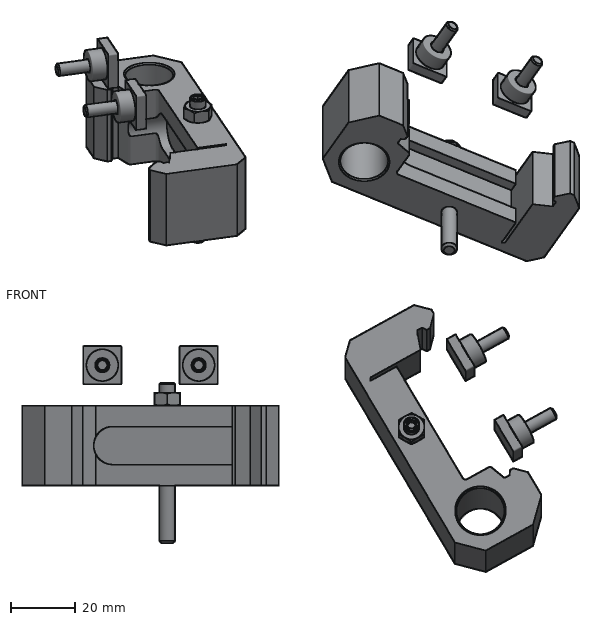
import cadquery as cq
import math


CLAMP_LENGTH = 80
CLAMP_DEPTH = 31.0
CLAMP_HEIGHT = 25.0
MID_HEIGHT = CLAMP_HEIGHT / 2
LEFT_CHAMFER = 7.0
RIGHT_CHAMFER = 4
BRIDGE_THICKNESS = 12.5
CORNER_RADIUS = 1.0

RAIL_X = 45.0
LIP_HALF_SPAN = 26.1
GROOVE_HALF_SPAN = 27.4
GROOVE_TOP_Y = -23.8
GROOVE_FOOT_Y = -25.6
LIP_TOP_Y = -26.5
LIP_FOOT_Y = -27.7
RIGHT_LIP_END_X = 74.6
SLANT_ANGLE = 20
LEFT_WALL_X = 23.0

SLOT_X = 65.4
SLOT_WIDTH = 1.0
WEB_THICKNESS = 3.1
RECESS_LEFT_X = 22.3
RECESS_HEIGHT = 11.8
RECESS_DEPTH = 3.0
BORE_INSET = 12
BORE_DIAMETER = 14.9
BORE_CHAMFER = 0.5

SCREW_X = 45.2
SCREW_Y = -6.2
SCREW_DIAMETER = 5.0
SCREW_LENGTH = 50.0
SCREW_BOTTOM_Z = -18.0
SCREW_TOP_CHAMFER = 0.4
SCREW_TIP_CHAMFER = 0.8
SOCKET_ACROSS_FLATS = 2.5
SOCKET_DEPTH = 2.5
SOCKET_TURN = 45
SOCKET_MOUTH_DIAMETER = 3.0
NUT_ACROSS_FLATS = 8
NUT_HEIGHT = 4
NUT_CHAMFER_ANGLE = 30

KNOB_COUNT = 2
KNOB_SPACING = 30.0
KNOB_BACK_Y = -27.8
KNOB_Z = 37.5
PLATE_SIDE = 12
PLATE_THICKNESS = 3.2
PLATE_CORNER_RADIUS = 0.5
COLLAR_DIAMETER = 9.9
COLLAR_LENGTH = 4.8
COLLAR_ROUNDING = 0.2
STUD_HOLE_DIAMETER = 4.5
STUD_DIAMETER = 4
STUD_LENGTH = 15.0
STUD_CHAMFER = 0.5


def hexagon_corner_diameter(across_flats):
    return across_flats / math.cos(math.radians(30))


def clamp_blank():
    """Extrude the C-shaped outline, with its hooked lips and flexing slot."""
    slant = math.tan(math.radians(SLANT_ANGLE))
    left_lip = RAIL_X - LIP_HALF_SPAN
    right_lip = RAIL_X + LIP_HALF_SPAN
    left_groove = RAIL_X - GROOVE_HALF_SPAN
    right_groove = RAIL_X + GROOVE_HALF_SPAN
    jaw_x = SLOT_X + SLOT_WIDTH
    left_bevel = CLAMP_DEPTH + LIP_FOOT_Y
    left_slant_end_y = GROOVE_TOP_Y + (LEFT_WALL_X - left_groove) * slant
    right_slant_end_y = GROOVE_TOP_Y + (right_groove - jaw_x) * slant
    slot_arc_middle = SLOT_WIDTH * math.sin(math.radians(45))

    blank = (
        cq.Workplane("XY")
        .moveTo(LEFT_CHAMFER, 0)
        .lineTo(0, -LEFT_CHAMFER)
        .lineTo(0, LEFT_CHAMFER - CLAMP_DEPTH)
        .lineTo(LEFT_CHAMFER, -CLAMP_DEPTH)
        .lineTo(left_lip - left_bevel, -CLAMP_DEPTH)
        .lineTo(left_lip, LIP_FOOT_Y)
        .lineTo(left_lip, LIP_TOP_Y)
        .lineTo(left_groove, GROOVE_FOOT_Y)
        .lineTo(left_groove, GROOVE_TOP_Y)
        .lineTo(LEFT_WALL_X, left_slant_end_y)
        .lineTo(LEFT_WALL_X, -BRIDGE_THICKNESS)
        .lineTo(SLOT_X, -BRIDGE_THICKNESS)
        .lineTo(SLOT_X, -WEB_THICKNESS)
        .threePointArc(
            (SLOT_X + slot_arc_middle, -WEB_THICKNESS - SLOT_WIDTH + slot_arc_middle),
            (jaw_x, -WEB_THICKNESS - SLOT_WIDTH),
        )
        .lineTo(jaw_x, right_slant_end_y)
        .lineTo(right_groove, GROOVE_TOP_Y)
        .lineTo(right_groove, GROOVE_FOOT_Y)
        .lineTo(right_lip, LIP_TOP_Y)
        .lineTo(right_lip, LIP_FOOT_Y)
        .lineTo(RIGHT_LIP_END_X, -CLAMP_DEPTH)
        .lineTo(CLAMP_LENGTH - RIGHT_CHAMFER, -CLAMP_DEPTH)
        .lineTo(CLAMP_LENGTH, RIGHT_CHAMFER - CLAMP_DEPTH)
        .lineTo(CLAMP_LENGTH, -RIGHT_CHAMFER)
        .lineTo(CLAMP_LENGTH - RIGHT_CHAMFER, 0)
        .close()
        .extrude(CLAMP_HEIGHT)
    )
    rounded_corners = [(LEFT_WALL_X, -BRIDGE_THICKNESS), (LEFT_WALL_X, left_slant_end_y)]
    for x, y in rounded_corners:
        corner = cq.selectors.NearestToPointSelector((x, y, MID_HEIGHT))
        blank = blank.edges("|Z").edges(corner).fillet(CORNER_RADIUS)
    return blank


def recess_cutter():
    """Round-ended recess in the bridge, running out into the slot."""
    floor_y = RECESS_DEPTH - BRIDGE_THICKNESS
    radius = RECESS_HEIGHT / 2
    length = CLAMP_DEPTH + floor_y
    end_center_x = RECESS_LEFT_X + radius
    straight_length = SLOT_X - end_center_x
    straight = cq.Workplane("XY").box(straight_length, length, RECESS_HEIGHT, centered=(False, False, True))
    straight = straight.translate((end_center_x, -CLAMP_DEPTH, MID_HEIGHT))
    round_end = (
        cq.Workplane("XZ", origin=(end_center_x, floor_y, MID_HEIGHT))
        .circle(radius)
        .extrude(length)
    )
    return straight.union(round_end)


def make_clamp():
    bore = (
        cq.Workplane("XY")
        .center(BORE_INSET, -BORE_INSET)
        .circle(BORE_DIAMETER / 2)
        .extrude(CLAMP_HEIGHT)
    )
    screw_hole = (
        cq.Workplane("XY")
        .center(SCREW_X, SCREW_Y)
        .circle(SCREW_DIAMETER / 2)
        .extrude(CLAMP_HEIGHT)
    )
    clamp = clamp_blank().cut(recess_cutter()).cut(bore)
    largest_circles = cq.selectors.RadiusNthSelector(-1)
    clamp = clamp.faces("<Z or >Z").edges("%CIRCLE").edges(largest_circles).chamfer(BORE_CHAMFER)
    return clamp.cut(screw_hole)


def make_set_screw():
    """Headless screw with a countersunk hexagon socket in its top end."""
    top_z = SCREW_BOTTOM_Z + SCREW_LENGTH
    countersink_depth = (SOCKET_MOUTH_DIAMETER - SOCKET_ACROSS_FLATS) / 2
    shank = (
        cq.Workplane("XY", origin=(SCREW_X, SCREW_Y, SCREW_BOTTOM_Z))
        .circle(SCREW_DIAMETER / 2)
        .extrude(SCREW_LENGTH)
        .faces(">Z")
        .chamfer(SCREW_TOP_CHAMFER)
        .faces("<Z")
        .chamfer(SCREW_TIP_CHAMFER)
    )
    socket = (
        cq.Workplane("XY", origin=(SCREW_X, SCREW_Y, top_z))
        .transformed(rotate=(0, 0, SOCKET_TURN))
        .polygon(6, hexagon_corner_diameter(SOCKET_ACROSS_FLATS))
        .extrude(-SOCKET_DEPTH)
    )
    countersink = (
        cq.Workplane("XY", origin=(SCREW_X, SCREW_Y, top_z))
        .circle(SOCKET_MOUTH_DIAMETER / 2)
        .workplane(offset=-countersink_depth)
        .circle(SOCKET_ACROSS_FLATS / 2)
        .loft()
    )
    return shank.cut(socket).cut(countersink)


def make_nut():
    """Hexagon nut with two flats facing left and right and both rims chamfered."""
    corner_diameter = hexagon_corner_diameter(NUT_ACROSS_FLATS)
    flat_radius = NUT_ACROSS_FLATS / 2
    corner_radius = corner_diameter / 2
    chamfer_drop = (corner_radius - flat_radius) * math.tan(math.radians(NUT_CHAMFER_ANGLE))
    prism = (
        cq.Workplane("XY")
        .transformed(rotate=(0, 0, 30))
        .polygon(6, corner_diameter)
        .extrude(NUT_HEIGHT)
    )
    rounded_envelope = (
        cq.Workplane("XZ")
        .moveTo(0, 0)
        .lineTo(flat_radius, 0)
        .lineTo(corner_radius, chamfer_drop)
        .lineTo(corner_radius, NUT_HEIGHT - chamfer_drop)
        .lineTo(flat_radius, NUT_HEIGHT)
        .lineTo(0, NUT_HEIGHT)
        .close()
        .revolve(360, (0, 0, 0), (0, 1, 0))
    )
    hole = cq.Workplane("XY").circle(SCREW_DIAMETER / 2).extrude(NUT_HEIGHT)
    nut = prism.intersect(rounded_envelope).cut(hole)
    return nut.translate((SCREW_X, SCREW_Y, CLAMP_HEIGHT))


def make_knob(x):
    """Square plate with a collar towards -Y and a blind stud hole as deep as the collar."""
    plate = (
        cq.Workplane("XZ", origin=(x, KNOB_BACK_Y, KNOB_Z))
        .rect(PLATE_SIDE, PLATE_SIDE)
        .extrude(PLATE_THICKNESS)
        .edges("|Y")
        .fillet(PLATE_CORNER_RADIUS)
    )
    collar = (
        cq.Workplane("XZ", origin=(x, KNOB_BACK_Y - PLATE_THICKNESS, KNOB_Z))
        .circle(COLLAR_DIAMETER / 2)
        .extrude(COLLAR_LENGTH)
        .faces("<Y")
        .fillet(COLLAR_ROUNDING)
    )
    stud_hole = (
        cq.Workplane("XZ", origin=(x, KNOB_BACK_Y - PLATE_THICKNESS, KNOB_Z))
        .circle(STUD_HOLE_DIAMETER / 2)
        .extrude(COLLAR_LENGTH)
    )
    return plate.union(collar).cut(stud_hole)


def make_stud(x):
    """Plain stud standing on the floor of the knob's stud hole."""
    return (
        cq.Workplane("XZ", origin=(x, KNOB_BACK_Y - PLATE_THICKNESS, KNOB_Z))
        .circle(STUD_DIAMETER / 2)
        .extrude(STUD_LENGTH)
        .faces("<Y")
        .chamfer(STUD_CHAMFER)
    )


clamp = make_clamp()
set_screw = make_set_screw()
nut = make_nut()

knobs = []
studs = []
for i in range(KNOB_COUNT):
    knob_x = CLAMP_LENGTH / 2 + (i - (KNOB_COUNT - 1) / 2) * KNOB_SPACING
    knobs.append(make_knob(knob_x).val())
    studs.append(make_stud(knob_x).val())

result = cq.Compound.makeCompound([clamp.val(), set_screw.val(), nut.val(), *knobs, *studs])